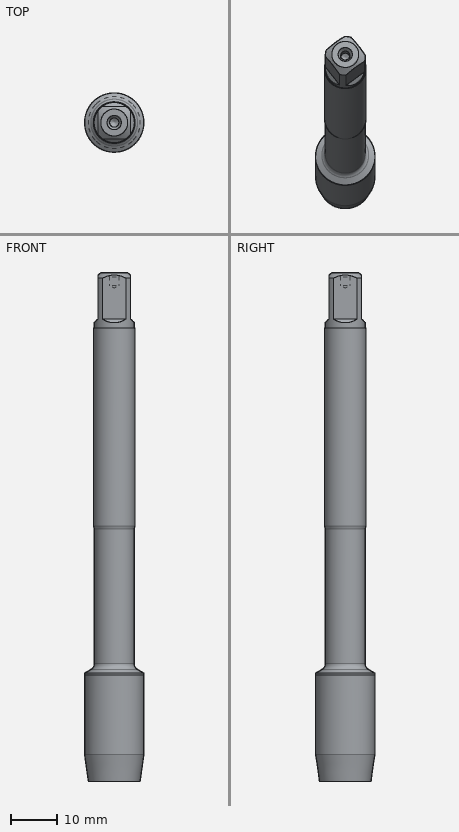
import cadquery as cq
import math

total_length = 110.0
taper_height = 5.8
head_height = 23.0
rim_height = 23.4
guide_start_height = 54.6
guide_end_height = 98.0
square_height = 100.0

head_diameter = 12.9
tip_diameter = 11.2
neck_diameter = 8.7
guide_diameter = 9.0
top_face_diameter = 5.8

shoulder_angle = math.radians(30)
fillet_radius = 1.4

square_side = 7.0
guide_lead_in = 0.7
top_chamfer_angle = math.radians(40)

center_hole_diameter = 2.0
countersink_diameter = 3.1
countersink_angle = math.radians(60)
center_hole_depth = 2.8
drill_point_angle = math.radians(118)

head_radius = head_diameter / 2
neck_radius = neck_diameter / 2
guide_radius = guide_diameter / 2


def revolve_profile(profile):
    """Revolve a closed radius-height outline around the Z axis."""
    return profile.close().revolve(360, (0, 0, 0), (0, 1, 0))


def make_threaded_head():
    """Cylinder with a tapered lead at the tip."""
    profile = (
        cq.Workplane("XZ")
        .lineTo(tip_diameter / 2, 0)
        .lineTo(head_radius, taper_height)
        .lineTo(head_radius, head_height)
        .lineTo(0, head_height)
    )
    return revolve_profile(profile)


def make_shank_blank():
    """Turned shank: rim, conical shoulder, fillet, neck, guide and chamfered top."""
    center_radius = neck_radius + fillet_radius
    fillet_foot_radius = center_radius - fillet_radius * math.sin(shoulder_angle)
    fillet_foot_height = rim_height + (head_radius - fillet_foot_radius) * math.tan(shoulder_angle)
    center_height = fillet_foot_height + fillet_radius * math.cos(shoulder_angle)
    middle_angle = (math.pi / 2 - shoulder_angle) / 2
    fillet_middle = (
        center_radius - fillet_radius * math.cos(middle_angle),
        center_height - fillet_radius * math.sin(middle_angle),
    )
    top_radius = top_face_diameter / 2
    chamfer_height = (neck_radius - top_radius) * math.tan(top_chamfer_angle)

    profile = (
        cq.Workplane("XZ")
        .moveTo(0, head_height)
        .lineTo(head_radius, head_height)
        .lineTo(head_radius, rim_height)
        .lineTo(fillet_foot_radius, fillet_foot_height)
        .threePointArc(fillet_middle, (neck_radius, center_height))
        .lineTo(neck_radius, guide_start_height)
        .lineTo(guide_radius, guide_start_height + guide_lead_in)
        .lineTo(guide_radius, guide_end_height)
        .lineTo(neck_radius, guide_end_height)
        .lineTo(neck_radius, total_length - chamfer_height)
        .lineTo(top_radius, total_length)
        .lineTo(0, total_length)
    )
    return revolve_profile(profile)


def make_flat_cutter():
    """Cutter for one drive flat, ending below in a 45 degree ramp."""
    flat_distance = square_side / 2
    ramp_run = guide_radius - flat_distance
    return (
        cq.Workplane("XZ")
        .moveTo(flat_distance, total_length)
        .lineTo(flat_distance, square_height)
        .lineTo(guide_radius, square_height - ramp_run)
        .lineTo(guide_radius, total_length)
        .close()
        .extrude(guide_radius, both=True)
    )


def make_center_hole():
    """Countersunk center hole with a conical drill point."""
    hole_radius = center_hole_diameter / 2
    countersink_radius = countersink_diameter / 2
    countersink_depth = (countersink_radius - hole_radius) / math.tan(countersink_angle / 2)
    point_depth = hole_radius / math.tan(drill_point_angle / 2)
    hole_bottom = total_length - center_hole_depth
    profile = (
        cq.Workplane("XZ")
        .moveTo(0, total_length)
        .lineTo(countersink_radius, total_length)
        .lineTo(hole_radius, total_length - countersink_depth)
        .lineTo(hole_radius, hole_bottom)
        .lineTo(0, hole_bottom - point_depth)
    )
    return revolve_profile(profile)


def make_shank():
    """Shank with a four-sided drive and a center hole at its top end."""
    body = make_shank_blank()
    flat_cutter = make_flat_cutter()
    for angle in (0, 90, 180, 270):
        body = body.cut(flat_cutter.rotate((0, 0, 0), (0, 0, 1), angle))
    return body.cut(make_center_hole())


threaded_head = make_threaded_head()
shank = make_shank()

result = cq.Compound.makeCompound([threaded_head.val(), shank.val()])